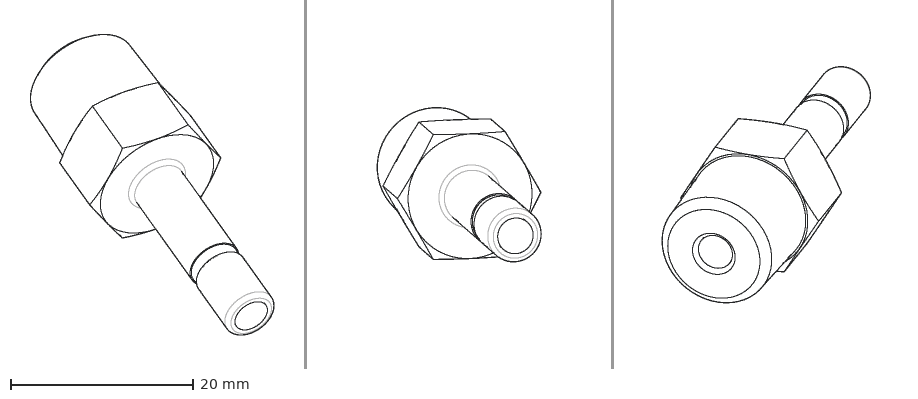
import cadquery as cq
import math

total_length = 42.0
hex_start = 10.9
hex_end = 19.05

lead_in_length = 0.95
thread_face_diameter = 10.8
thread_small_diameter = 12.85
thread_taper = 1 / 16
thread_large_diameter = thread_small_diameter + thread_taper * (hex_start - lead_in_length)

across_flats = 14.0
across_corners = across_flats / math.cos(math.radians(30))
hex_face_diameter = 13.95
corner_chamfer_length = 0.4

stem_diameter = 6.0
stem_root_radius = 0.5
stem_tip_radius = 0.5
groove_diameter = 5.7
groove_start = 33.05
groove_end = 34.55

bore_diameter = 4.0
mouth_diameter = 5.0
mouth_depth = (mouth_diameter - bore_diameter) / 2


def revolve_about_x(profile):
    """Turn a closed XY profile about the X axis."""
    return profile.close().revolve(360, (0, 0, 0), (1, 0, 0))


def make_thread_body():
    return revolve_about_x(
        cq.Workplane("XY")
        .lineTo(0, thread_face_diameter / 2)
        .lineTo(lead_in_length, thread_small_diameter / 2)
        .lineTo(hex_start, thread_large_diameter / 2)
        .lineTo(hex_start, 0)
    )


def make_hexagon():
    """Hexagon with corners on Y and both ends turned to a shallow cone."""
    prism = (
        cq.Workplane("YZ", origin=(hex_start, 0, 0))
        .polygon(6, across_corners)
        .extrude(hex_end - hex_start)
    )
    turned_envelope = revolve_about_x(
        cq.Workplane("XY")
        .moveTo(hex_start, 0)
        .lineTo(hex_start, hex_face_diameter / 2)
        .lineTo(hex_start + corner_chamfer_length, across_corners / 2)
        .lineTo(hex_end - corner_chamfer_length, across_corners / 2)
        .lineTo(hex_end, hex_face_diameter / 2)
        .lineTo(hex_end, 0)
    )
    return prism.intersect(turned_envelope)


def make_stem():
    """Grooved stem with a concave root fillet and a rounded tip."""
    stem_radius = stem_diameter / 2
    groove_radius = groove_diameter / 2
    return revolve_about_x(
        cq.Workplane("XY")
        .moveTo(hex_end, 0)
        .lineTo(hex_end, stem_radius + stem_root_radius)
        .radiusArc((hex_end + stem_root_radius, stem_radius), -stem_root_radius)
        .lineTo(groove_start, stem_radius)
        .lineTo(groove_start, groove_radius)
        .lineTo(groove_end, groove_radius)
        .lineTo(groove_end, stem_radius)
        .lineTo(total_length - stem_tip_radius, stem_radius)
        .radiusArc((total_length, stem_radius - stem_tip_radius), stem_tip_radius)
        .lineTo(total_length, 0)
    )


def make_bore():
    return revolve_about_x(
        cq.Workplane("XY")
        .lineTo(0, mouth_diameter / 2)
        .lineTo(mouth_depth, bore_diameter / 2)
        .lineTo(total_length, bore_diameter / 2)
        .lineTo(total_length, 0)
    )


result = make_thread_body().union(make_hexagon()).union(make_stem()).cut(make_bore())